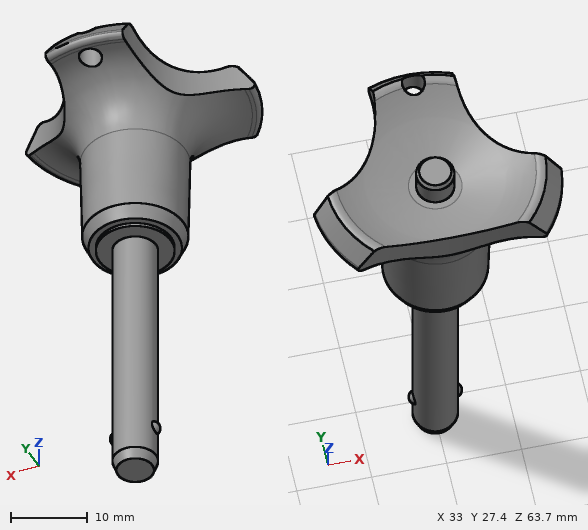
import cadquery as cq
import math


pin_radius = 3.0
pin_length = 37.0
tip_radius = 2.45
tip_length = 1.5
ball_radius = 0.95
ball_reach = 3.55
ball_height_above_tip = 6.15

collar_radius = 5.15
collar_height = 0.5
grip_bottom_radius = 6.1
grip_cone_radius = 6.95
grip_cone_top = 2.4
grip_top_radius = 7.2
grip_top = 14.7

flare_radius = 8.1
rim_radius = 16.6
rim_lower_round = 0.75
rim_upper_round = 0.6
crown_outer_radius = 14.55
crown_inner_radius = 13.2
crown_edge_height = 26.5
head_top = 26.7
dish_floor_radius = 3.5
dish_floor = 22.65
dish_mid_radius = 9.1
dish_mid_height = 24.35

side_scallop_radius = 16.0
side_scallop_depth_radius = 9.4
side_scallop_angle = 32.45
front_scallop_radius = 47.5
front_scallop_depth_radius = 9.1
front_scallop_angle = -90.0

button_radius = 2.5
button_top = 26.35
button_chamfer_height = 0.6
button_chamfer_width = 0.4
lanyard_hole_radius = 1.5
lanyard_hole_offset = 13.65

head_cut_height = head_top - grip_top + 1.0


def make_pin():
    """Round pin with a tapered tip, reaching up to the underside of the handle."""
    tip_z = -pin_length
    profile = (
        cq.Workplane("XZ")
        .moveTo(0, tip_z)
        .lineTo(tip_radius, tip_z)
        .lineTo(pin_radius, tip_z + tip_length)
        .lineTo(pin_radius, collar_height)
        .lineTo(0, collar_height)
        .close()
    )
    return profile.revolve(360, (0, 0, 0), (0, 1, 0))


def make_ball(side):
    """Locking ball on the +X (side = 1) or -X (side = -1) flank of the pin."""
    center_x = side * (ball_reach - ball_radius)
    center_z = ball_height_above_tip - pin_length
    return cq.Workplane("XY").sphere(ball_radius).translate((center_x, 0, center_z))


def make_handle_body():
    """Revolved grip, flare and dished head, before the scallops are cut."""
    diagonal = math.sqrt(0.5)
    flare_center_r = grip_top_radius + flare_radius
    flare_mid = (flare_center_r - flare_radius * diagonal, grip_top + flare_radius * diagonal)
    flare_top = grip_top + flare_radius
    rim_z = flare_top + rim_lower_round

    def rim_point(round_radius, angle):
        """Profile point on a rim round that touches the rim radius at height rim_z."""
        r = rim_radius - round_radius + round_radius * math.cos(angle)
        return (r, rim_z + round_radius * math.sin(angle))

    to_crown_r = crown_outer_radius - (rim_radius - rim_upper_round)
    to_crown_z = crown_edge_height - rim_z
    crown_direction = math.atan2(to_crown_z, to_crown_r)
    tangent_angle = crown_direction - math.acos(rim_upper_round / math.hypot(to_crown_r, to_crown_z))

    crown_mid_radius = (crown_inner_radius + crown_outer_radius) / 2

    profile = (
        cq.Workplane("XZ")
        .moveTo(0, 0)
        .lineTo(collar_radius, 0)
        .lineTo(collar_radius, collar_height)
        .lineTo(grip_bottom_radius, collar_height)
        .lineTo(grip_cone_radius, grip_cone_top)
        .lineTo(grip_top_radius, grip_top)
        .threePointArc(flare_mid, (flare_center_r, flare_top))
        .lineTo(rim_radius - rim_lower_round, flare_top)
        .threePointArc(rim_point(rim_lower_round, -math.pi / 4), (rim_radius, rim_z))
        .threePointArc(
            rim_point(rim_upper_round, tangent_angle / 2),
            rim_point(rim_upper_round, tangent_angle),
        )
        .lineTo(crown_outer_radius, crown_edge_height)
        .threePointArc((crown_mid_radius, head_top), (crown_inner_radius, crown_edge_height))
        .threePointArc((dish_mid_radius, dish_mid_height), (dish_floor_radius, dish_floor))
        .lineTo(0, dish_floor)
        .close()
    )
    return profile.revolve(360, (0, 0, 0), (0, 1, 0))


def make_scallop(radius, depth_radius, angle):
    """Vertical cylinder that cuts the head down to depth_radius in the given direction."""
    distance = radius + depth_radius
    center_x = distance * math.cos(math.radians(angle))
    center_y = distance * math.sin(math.radians(angle))
    return (
        cq.Workplane("XY", origin=(0, 0, grip_top))
        .center(center_x, center_y)
        .circle(radius)
        .extrude(head_cut_height)
    )


def make_button():
    """Release button with a chamfered top, standing on the dish floor and rooted in the handle."""
    profile = (
        cq.Workplane("XZ")
        .moveTo(0, grip_top)
        .lineTo(button_radius, grip_top)
        .lineTo(button_radius, button_top - button_chamfer_height)
        .lineTo(button_radius - button_chamfer_width, button_top)
        .lineTo(0, button_top)
        .close()
    )
    return profile.revolve(360, (0, 0, 0), (0, 1, 0))


def make_lanyard_hole():
    """Vertical through hole in the +Y lobe."""
    return (
        cq.Workplane("XY", origin=(0, lanyard_hole_offset, grip_top))
        .circle(lanyard_hole_radius)
        .extrude(head_cut_height)
    )


def make_handle():
    handle = make_handle_body()
    for angle in (side_scallop_angle, 180 - side_scallop_angle):
        handle = handle.cut(make_scallop(side_scallop_radius, side_scallop_depth_radius, angle))
    handle = handle.cut(
        make_scallop(front_scallop_radius, front_scallop_depth_radius, front_scallop_angle)
    )
    return handle.cut(make_lanyard_hole()).union(make_button())


result = make_handle().union(make_pin())
for ball_side in (1, -1):
    result = result.union(make_ball(ball_side))